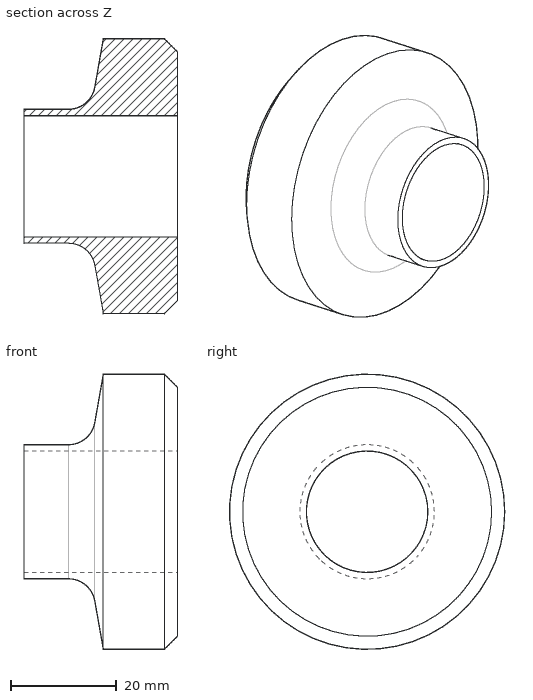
import cadquery as cq
import math

total_length = 29.0
flange_radius = 52 / 2
neck_radius = 25.4 / 2
bore_radius = 22.9 / 2
rim_start = 15.0
cone_angle = math.radians(10)
fillet_radius = 5.0
chamfer = 2.5

cone_inner_radius = neck_radius + fillet_radius * (1 - math.sin(cone_angle))
cone_start = rim_start - (flange_radius - cone_inner_radius) * math.tan(cone_angle)
neck_length = cone_start - fillet_radius * math.cos(cone_angle)

fillet_center_radius = neck_radius + fillet_radius
half_sweep = (math.pi / 2 - cone_angle) / 2
fillet_middle = (
    neck_length + fillet_radius * math.sin(half_sweep),
    fillet_center_radius - fillet_radius * math.cos(half_sweep),
)

section = (
    cq.Workplane("XY")
    .moveTo(0, bore_radius)
    .lineTo(0, neck_radius)
    .lineTo(neck_length, neck_radius)
    .threePointArc(fillet_middle, (cone_start, cone_inner_radius))
    .lineTo(rim_start, flange_radius)
    .lineTo(total_length - chamfer, flange_radius)
    .lineTo(total_length, flange_radius - chamfer)
    .lineTo(total_length, bore_radius)
    .close()
)

result = section.revolve(360, (0, 0, 0), (1, 0, 0))